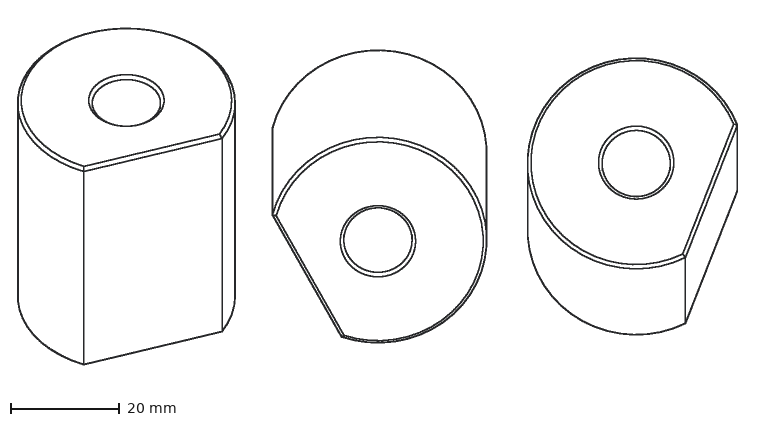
import cadquery as cq

height = 50.0
body_diameter = 40.0
bore_diameter = 12.55
flat_distance = 14.8
edge_chamfer = 0.65


def flatted_cylinder():
    """Upright cylinder with one flat along its full height on the +X side."""
    cylinder = cq.Workplane("XY").circle(body_diameter / 2).extrude(height)
    beyond_flat = (
        cq.Workplane("XY")
        .center(flat_distance, 0)
        .rect(body_diameter, body_diameter)
        .extrude(height)
        .translate((body_diameter / 2, 0, 0))
    )
    return cylinder.cut(beyond_flat)


bored_body = flatted_cylinder().faces(">Z").workplane(origin=(0, 0, height)).hole(bore_diameter)

result = bored_body.faces("<Z or >Z").edges().chamfer(edge_chamfer)